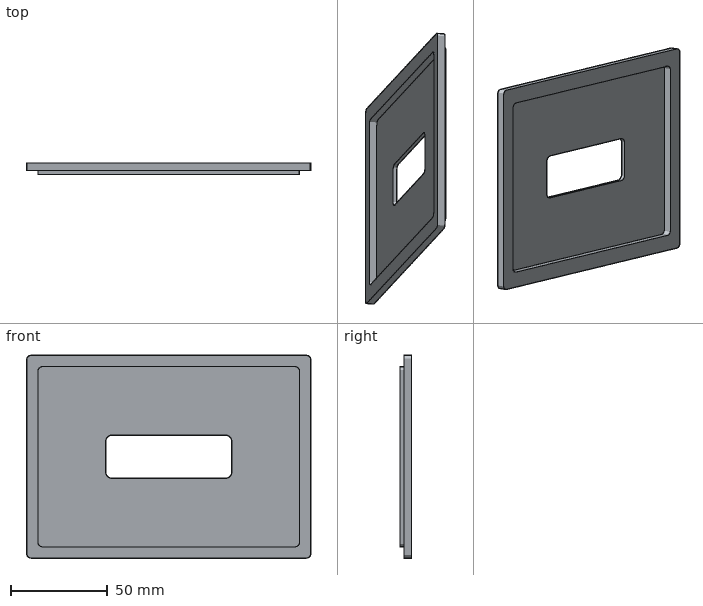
import cadquery as cq

plate_width = 147.0
plate_height = 105.0
total_thickness = 6.0
step_thickness = 2.0
plate_thickness = total_thickness - step_thickness

step_inset = 5.9
step_width = plate_width - 2 * step_inset
step_height = plate_height - 2 * step_inset

floor_thickness = step_thickness
recess_depth = total_thickness - floor_thickness
recess_width = step_width - 2 * floor_thickness
recess_height = step_height - 2 * floor_thickness

window_width = 65.0
window_height = 22.0

corner_radius = 2.5
window_radius = 3.0


def rounded_slab(width, height, radius, front_y, thickness):
    """Centred rectangle in XZ with rounded corners, extending from front_y toward +Y."""
    slab = cq.Workplane("XY").box(width, thickness, height, centered=(True, False, True))
    return slab.edges("|Y").fillet(radius).translate((0, front_y, 0))


plate = rounded_slab(plate_width, plate_height, corner_radius, 0, plate_thickness)
step = rounded_slab(step_width, step_height, corner_radius, -step_thickness, step_thickness)
recess = rounded_slab(
    recess_width, recess_height, corner_radius, plate_thickness - recess_depth, recess_depth
)
window = rounded_slab(window_width, window_height, window_radius, -step_thickness, total_thickness)

result = plate.union(step).cut(recess).cut(window)